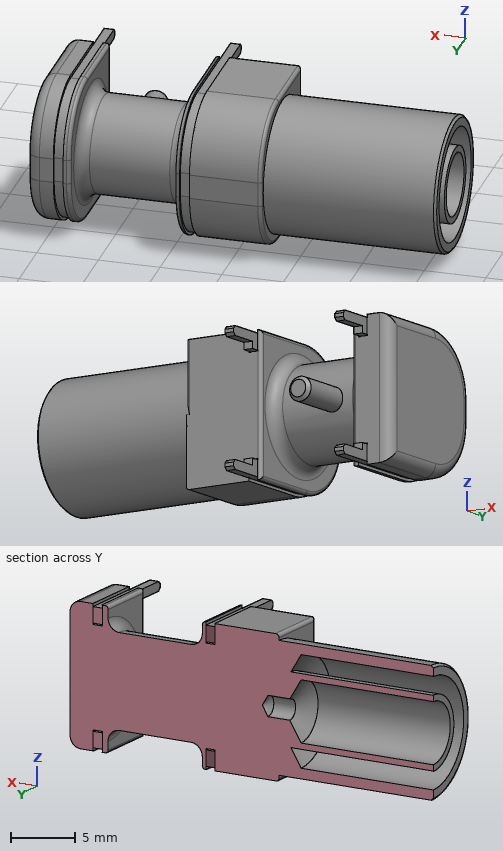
import cadquery as cq
import math


half_width = 6.0
base_y = -5.5
corner_radius = 5.0
edge_round = 0.3
rear_round = 1.0

block_start = 14.0
block_end = 21.0
flange_start = 29.5
flange_end = 33.0

barrel_radius = 5.5
barrel_rim_chamfer = 0.2
neck_radius = 4.0
neck_fillet = 1.0

pocket_radius = 4.6
tube_outer_radius = 3.1
tube_bore_radius = 2.55
contact_hole_radius = 0.85
socket_depth = 12.0
contact_hole_depth = 3.0
drill_half_angle = math.radians(59)

clip_thickness = 0.8
clip_positions = [19.83, 30.07]
clip_outer_inset = 0.25
clip_inner_inset = 1.63
slot_clearance = 0.07
slot_inner_inset = clip_inner_inset + slot_clearance
leg_width = 0.8
leg_tip_y = -8.9
leg_tip_chamfer = 0.25
shoulder_length = 0.7

pin_x = 26.6
pin_radius = 1.0
pin_tip_y = -8.8
pin_chamfer = 0.3
pin_root_y = 0.0


def bow_outline(x, inset, end_y):
    """Outline parallel to X = x: straight sides from end_y and two round corners towards +Y."""
    side = half_width - inset
    radius = corner_radius - inset
    center = half_width - corner_radius
    diagonal = center + radius * math.sqrt(0.5)
    return (
        cq.Workplane("YZ", origin=(x, 0, 0))
        .moveTo(end_y, -side)
        .lineTo(center, -side)
        .threePointArc((diagonal, -diagonal), (side, -center))
        .lineTo(side, center)
        .threePointArc((diagonal, diagonal), (center, side))
        .lineTo(end_y, side)
        .close()
    )


def bow_plate(start, end):
    """Full-size plate of the outline between two places along X."""
    return bow_outline(start, 0, base_y).extrude(end - start)


def x_cylinder(radius, start, end):
    return cq.Workplane("YZ", origin=(start, 0, 0)).circle(radius).extrude(end - start)


def bow_ring(x, outer_inset, inner_inset):
    """U-shaped strip following the outline, open at the base."""
    outer = bow_outline(x, outer_inset, base_y).extrude(clip_thickness)
    inner = bow_outline(x, inner_inset, base_y).extrude(clip_thickness)
    return outer.cut(inner)


def make_block():
    """Block behind the barrel; half of its front base edge stays sharp."""
    block = bow_plate(block_start, block_end)
    block = block.faces(">X").edges().fillet(edge_round)
    block = block.faces("<X").edges("not <Y").fillet(edge_round)
    base_edge_waste = (
        cq.Workplane("XY")
        .moveTo(block_start, base_y)
        .lineTo(block_start + edge_round, base_y)
        .radiusArc((block_start, base_y + edge_round), edge_round)
        .close()
        .extrude(half_width)
    )
    return block.cut(base_edge_waste)


def make_flange():
    flange = bow_plate(flange_start, flange_end)
    flange = flange.faces("<X").edges().fillet(edge_round)
    return flange.faces(">X").edges().fillet(rear_round)


def make_neck():
    """Neck flaring with a fillet into the block and the flange."""
    flare_radius = neck_radius + neck_fillet
    return (
        cq.Workplane("XY")
        .moveTo(block_end, 0)
        .lineTo(block_end, flare_radius)
        .radiusArc((block_end + neck_fillet, neck_radius), -neck_fillet)
        .lineTo(flange_start - neck_fillet, neck_radius)
        .radiusArc((flange_start, flare_radius), -neck_fillet)
        .lineTo(flange_start, 0)
        .close()
        .revolve(360, (0, 0, 0), (1, 0, 0))
    )


def drilled_hole(radius, start, depth):
    """Hole along X with a conical floor; depth is where the cone meets the wall."""
    tip = start + depth + radius / math.tan(drill_half_angle)
    return (
        cq.Workplane("XY")
        .moveTo(start, 0)
        .lineTo(start, radius)
        .lineTo(start + depth, radius)
        .lineTo(tip, 0)
        .close()
        .revolve(360, (0, 0, 0), (1, 0, 0))
    )


def make_socket():
    """Annular pocket, tube bore and contact hole, all cut from the open end."""
    tube_length = socket_depth + pocket_radius / math.tan(drill_half_angle)
    tube = x_cylinder(tube_outer_radius, 0, tube_length)
    pocket = drilled_hole(pocket_radius, 0, socket_depth).cut(tube)
    bore = drilled_hole(tube_bore_radius, 0, socket_depth)
    contact_hole = drilled_hole(contact_hole_radius, 0, socket_depth + contact_hole_depth)
    return pocket, bore, contact_hole


def make_pin():
    """Round pin standing out of the neck towards -Y, rooted on the main axis."""
    return (
        cq.Workplane("XZ", origin=(pin_x, pin_root_y, 0))
        .circle(pin_radius)
        .extrude(pin_root_y - pin_tip_y)
        .faces("<Y")
        .chamfer(pin_chamfer)
    )


def make_clip(x):
    """U-shaped clip with a shoulder and a narrower solder leg on each side."""
    clip = bow_ring(x, clip_outer_inset, clip_inner_inset)
    leg_outer = half_width - clip_outer_inset
    leg_inner = leg_outer - leg_width
    shoulder_inner = half_width - clip_inner_inset
    shoulder_y = base_y - shoulder_length
    leg = (
        cq.Workplane("YZ", origin=(x, 0, 0))
        .moveTo(base_y, shoulder_inner)
        .lineTo(shoulder_y, shoulder_inner)
        .lineTo(shoulder_y, leg_inner)
        .lineTo(leg_tip_y + leg_tip_chamfer, leg_inner)
        .lineTo(leg_tip_y, leg_inner + leg_tip_chamfer)
        .lineTo(leg_tip_y, leg_outer - leg_tip_chamfer)
        .lineTo(leg_tip_y + leg_tip_chamfer, leg_outer)
        .lineTo(base_y, leg_outer)
        .close()
        .extrude(clip_thickness)
    )
    return clip.union(leg).union(leg.mirror("XY"))


def make_housing():
    """Barrel, block, neck and flange in one, with the socket, clip slots and pin hole cut out."""
    barrel = x_cylinder(barrel_radius, 0, block_start + edge_round)
    barrel = barrel.faces("<X").edges().chamfer(barrel_rim_chamfer)
    housing = barrel.union(make_block()).union(make_neck()).union(make_flange())
    for cavity in make_socket():
        housing = housing.cut(cavity)
    for x in clip_positions:
        housing = housing.cut(bow_ring(x, 0, slot_inner_inset))
    return housing.cut(make_pin())


housing = make_housing()
pin = make_pin()
clips = [make_clip(x) for x in clip_positions]

result = cq.Compound.makeCompound(
    [housing.val(), pin.val(), *[clip.val() for clip in clips]]
)